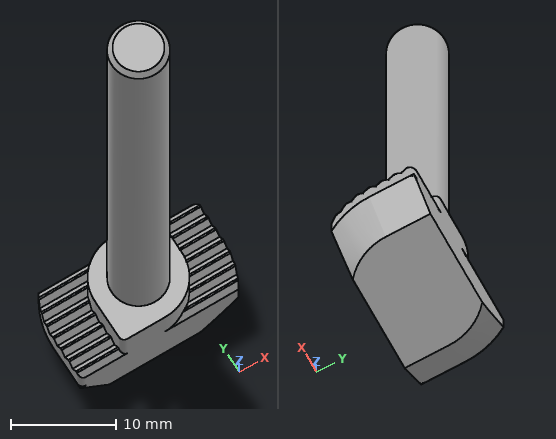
import cadquery as cq
import math

total_height = 65.8
head_length = 19.0
width = 9.7

head_height = 5.85
collar_top = 8.8
wall_bottom = 3.2
base_radius = 6.25
corner_fillet = 0.6

tooth_count = 7
tooth_depth = 0.6
tooth_flat = 0.2
tooth_pitch = width / tooth_count

stem_diameter = 6.0
stem_chamfer = 0.5

half_length = head_length / 2
half_width = width / 2


def head_outline():
    """Plan outline with flat and arc-shaped halves at opposite ends."""
    arc_end = math.sqrt(half_length**2 - half_width**2)
    half_angle = math.asin(half_width / half_length) / 2
    mid_x = half_length * math.cos(half_angle)
    mid_y = half_length * math.sin(half_angle)
    return (
        cq.Workplane("XY")
        .moveTo(-half_length, -half_width)
        .lineTo(arc_end, -half_width)
        .threePointArc((mid_x, -mid_y), (half_length, 0))
        .lineTo(half_length, half_width)
        .lineTo(-arc_end, half_width)
        .threePointArc((-mid_x, mid_y), (-half_length, 0))
        .close()
    )


def round_sharp_corners(prism):
    """Fillet the two square corners, at (-X, -Y) and (+X, +Y)."""
    return prism.edges("|Z").edges("<(1, 1, 0) or >(1, 1, 0)").fillet(corner_fillet)


def end_taper():
    """Lower envelope: a cone on the rounded quadrants, flat slopes on the others."""
    cone = cq.Workplane("XY").add(
        cq.Solid.makeCone(base_radius, half_length, wall_bottom)
    )
    slopes = (
        cq.Workplane("XZ")
        .moveTo(-base_radius, 0)
        .lineTo(base_radius, 0)
        .lineTo(half_length, wall_bottom)
        .lineTo(-half_length, wall_bottom)
        .close()
        .extrude(half_width, both=True)
    )
    for side in (-1, 1):
        quadrant = cq.Workplane("XY").box(half_length, half_width, wall_bottom)
        quadrant = quadrant.translate((side * half_length / 2, -side * half_width / 2, wall_bottom / 2))
        slopes = slopes.cut(quadrant.cut(cone))
    return slopes


def serrations():
    """Ridges running along X, symmetric about the XZ plane."""
    root = head_height - tooth_depth
    profile = cq.Workplane("YZ").moveTo(-half_width, 0).lineTo(-half_width, root)
    for tooth in range(tooth_count):
        start = -half_width + tooth * tooth_pitch
        peak = start + tooth_pitch / 2
        profile = (
            profile.lineTo(peak - tooth_flat / 2, head_height)
            .lineTo(peak + tooth_flat / 2, head_height)
            .lineTo(start + tooth_pitch, root)
        )
    return profile.lineTo(half_width, 0).close().extrude(half_length, both=True)


def make_head():
    upper = round_sharp_corners(head_outline().extrude(head_height - wall_bottom))
    upper = upper.translate((0, 0, wall_bottom)).intersect(serrations())
    return upper.union(end_taper())


def make_collar():
    """Square collar with two opposite corners rounded to the half width."""
    collar = cq.Workplane("XY").workplane(offset=wall_bottom).rect(width, width)
    collar = collar.extrude(collar_top - wall_bottom)
    collar = collar.edges("|Z").edges("<(1, -1, 0) or >(1, -1, 0)").fillet(half_width)
    return round_sharp_corners(collar)


def make_stem():
    return (
        cq.Workplane("XY")
        .circle(stem_diameter / 2)
        .extrude(total_height)
        .faces(">Z")
        .chamfer(stem_chamfer)
    )


result = make_head().union(make_collar()).union(make_stem())